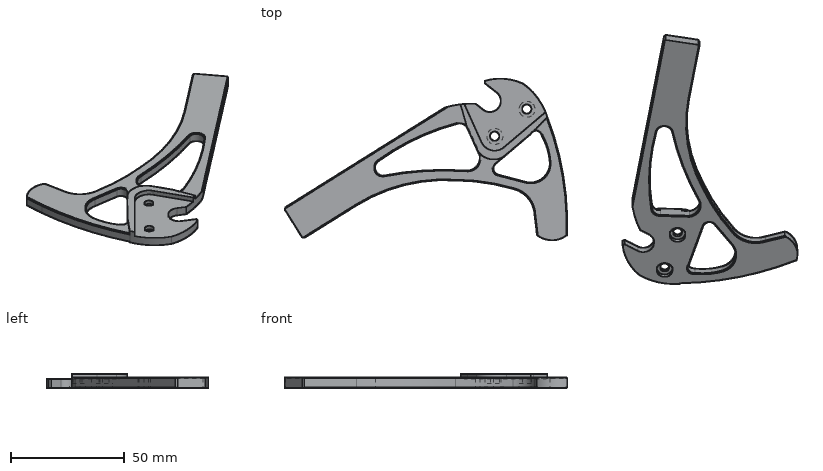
import cadquery as cq
import math

GRIP_HEIGHT = 4.7625
HEAD_HEIGHT = 4.1
RIDGE_HEIGHT = 6.35

EDGE_CHAMFER = 0.45
CHAMFER_TAPER = 45.0
CHAMFER_SETBACK = 3.8

ARM_ANGLE = 32.0
ARM_WIDTH = 15.9
ARM_TOP_CORNER = (-0.4, 14.15)
ARM_TOP_LENGTH = 83.7
ARM_BOTTOM_LENGTH = 27.6
ARM_CORNER_CHAMFER = 0.75

LONG_ARC_MIDDLE = (52.4, 24.2)
LONG_ARC_END = (74.9, 26.3)
SHALLOW_ARC_MIDDLE = (88.0, 25.3)
SHALLOW_ARC_END = (100.3, 22.6)
TIGHT_ARC_MIDDLE = (106.3, 19.3)
TIGHT_ARC_END = (109.8, 11.3)

TAIL_RIGHT = 124.24
TAIL_CORNER_HEIGHT = 2.4
TAIL_LEFT_CORNER = (110.85, TAIL_CORNER_HEIGHT)
TAIL_RIGHT_CORNER = (TAIL_RIGHT, TAIL_CORNER_HEIGHT)
TAIL_END_MIDDLE = (117.3, 0.0)

BACK_ARC_START = (TAIL_RIGHT, 11.0)
BACK_ARC_MIDDLE = (122.1, 31.0)
HEAD_BACK_MIDDLE = (111.6, 62.1)
HEAD_BACK_END = (104.7, 69.0)
CROWN_MIDDLE = (96.0, 71.13)
BEAK_TIP = (88.0, 70.2)
BROW_MIDDLE = (76.9, 59.8)

SLOT_CENTER = (90.2, 61.25)
SLOT_RADIUS = 4.7625
SLOT_ANGLE = 142.0
SLOT_UPPER_LENGTH = 6.7
SLOT_LOWER_LENGTH = 4.3

LOWER_HOLE = (92.3, 45.8)
HOLE_SPACING = 18.5
HOLE_DIAMETER = 3.97
COUNTERBORE_DIAMETER = 7.0
COUNTERBORE_DEPTH = 2.2

RIDGE_OUTER_OFFSET = 9.525
RIDGE_INNER_OFFSET = 6.35
LEFT_FLANK_ANGLE = 114.3
RIGHT_FLANK_ANGLE = 40.2
LEFT_FLANK_LENGTH = 8.0
RIGHT_FLANK_LENGTH = 12.8
FLANK_EXTENSION = 1.5
LEFT_RIDGE_END = (77.3, 59.8)
RIGHT_RIDGE_END = (115.5, 54.2)

LEFT_WINDOW_FLANK_BOTTOM = -4.8
LEFT_LOWER_CORNER_MIDDLE = (84.3, 32.5)
LEFT_LOWER_SIDE_START = (79.8, 30.75)
LEFT_LOWER_SIDE_MIDDLE = (61.0, 30.8)
LEFT_LOWER_SIDE_END = (43.4, 28.5)
LEFT_TIP_MIDDLE = (39.8, 31.2)
LEFT_UPPER_SIDE_START = (41.3, 34.9)
LEFT_UPPER_SIDE_MIDDLE = (57.7, 44.6)
LEFT_UPPER_SIDE_END = (76.3, 51.35)
LEFT_UPPER_CORNER_MIDDLE = (79.0, 50.8)

RIGHT_WINDOW_FLANK_BOTTOM = -7.4
RIGHT_LEFT_CORNER_MIDDLE = (91.8, 31.4)
RIGHT_LOWER_SIDE_START = (94.1, 28.85)
RIGHT_LOWER_SIDE_END = (105.6, 25.85)
RIGHT_TAIL_CORNER_MIDDLE = (113.9, 27.8)
RIGHT_BACK_START = (116.5, 34.2)
RIGHT_BACK_MIDDLE = (115.5, 40.0)
RIGHT_BACK_END = (113.0, 46.0)
RIGHT_TOP_CORNER_MIDDLE = (111.4, 48.0)

BEYOND_PART = 80.0


def step(start, angle, distance):
    """Point reached from start along a direction given in degrees."""
    turn = math.radians(angle)
    return (start[0] + distance * math.cos(turn), start[1] + distance * math.sin(turn))


def midpoint(start, end):
    """Point halfway between two points."""
    return ((start[0] + end[0]) / 2, (start[1] + end[1]) / 2)


def left_flank(offset, along):
    """Point on the left side of the V, measured upward from beside the lower hole."""
    return step(step(LOWER_HOLE, LEFT_FLANK_ANGLE + 90, offset), LEFT_FLANK_ANGLE, along)


def right_flank(offset, along):
    """Point on the right side of the V, measured upward from beside the lower hole."""
    return step(step(LOWER_HOLE, RIGHT_FLANK_ANGLE - 90, offset), RIGHT_FLANK_ANGLE, along)


def v_bottom(offset, extension):
    """Middle of the arc that joins both flanks tangentially, extended below the hole."""
    half_angle = math.radians((LEFT_FLANK_ANGLE - RIGHT_FLANK_ANGLE) / 2)
    radius = offset - extension * math.tan(half_angle)
    apex_distance = offset / math.sin(half_angle)
    distance = apex_distance - radius / math.sin(half_angle) + radius
    return step(LOWER_HOLE, (LEFT_FLANK_ANGLE + RIGHT_FLANK_ANGLE) / 2 + 180, distance)


def outline():
    """Closed outer profile, counterclockwise from the arm end."""
    across = ARM_ANGLE - 90
    arm_bottom_corner = step(ARM_TOP_CORNER, across, ARM_WIDTH)
    slot_upper = step(SLOT_CENTER, SLOT_ANGLE - 90, SLOT_RADIUS)
    slot_lower = step(SLOT_CENTER, SLOT_ANGLE + 90, SLOT_RADIUS)
    slot_bottom = step(SLOT_CENTER, SLOT_ANGLE + 180, SLOT_RADIUS)
    return (
        cq.Workplane("XY")
        .moveTo(*step(ARM_TOP_CORNER, across, ARM_CORNER_CHAMFER))
        .lineTo(*step(ARM_TOP_CORNER, across, ARM_WIDTH - ARM_CORNER_CHAMFER))
        .lineTo(*step(arm_bottom_corner, ARM_ANGLE, ARM_CORNER_CHAMFER))
        .lineTo(*step(arm_bottom_corner, ARM_ANGLE, ARM_BOTTOM_LENGTH))
        .threePointArc(LONG_ARC_MIDDLE, LONG_ARC_END)
        .threePointArc(SHALLOW_ARC_MIDDLE, SHALLOW_ARC_END)
        .threePointArc(TIGHT_ARC_MIDDLE, TIGHT_ARC_END)
        .lineTo(*TAIL_LEFT_CORNER)
        .threePointArc(TAIL_END_MIDDLE, TAIL_RIGHT_CORNER)
        .lineTo(*BACK_ARC_START)
        .threePointArc(BACK_ARC_MIDDLE, RIGHT_RIDGE_END)
        .threePointArc(HEAD_BACK_MIDDLE, HEAD_BACK_END)
        .threePointArc(CROWN_MIDDLE, BEAK_TIP)
        .lineTo(*step(slot_upper, SLOT_ANGLE, SLOT_UPPER_LENGTH))
        .lineTo(*slot_upper)
        .threePointArc(slot_bottom, slot_lower)
        .lineTo(*step(slot_lower, SLOT_ANGLE, SLOT_LOWER_LENGTH))
        .threePointArc(BROW_MIDDLE, step(ARM_TOP_CORNER, ARM_ANGLE, ARM_TOP_LENGTH))
        .lineTo(*step(ARM_TOP_CORNER, ARM_ANGLE, ARM_CORNER_CHAMFER))
        .close()
    )


def left_window():
    """Long window between the arm and the left flank of the ridge."""
    flank_top = left_flank(RIDGE_OUTER_OFFSET, LEFT_FLANK_LENGTH)
    flank_bottom = left_flank(RIDGE_OUTER_OFFSET, LEFT_WINDOW_FLANK_BOTTOM)
    return (
        cq.Workplane("XY")
        .moveTo(*flank_top)
        .lineTo(*flank_bottom)
        .threePointArc(LEFT_LOWER_CORNER_MIDDLE, LEFT_LOWER_SIDE_START)
        .threePointArc(LEFT_LOWER_SIDE_MIDDLE, LEFT_LOWER_SIDE_END)
        .threePointArc(LEFT_TIP_MIDDLE, LEFT_UPPER_SIDE_START)
        .threePointArc(LEFT_UPPER_SIDE_MIDDLE, LEFT_UPPER_SIDE_END)
        .threePointArc(LEFT_UPPER_CORNER_MIDDLE, flank_top)
        .close()
    )


def right_window():
    """Triangular window between the tail and the right flank of the ridge."""
    flank_top = right_flank(RIDGE_OUTER_OFFSET, RIGHT_FLANK_LENGTH)
    flank_bottom = right_flank(RIDGE_OUTER_OFFSET, RIGHT_WINDOW_FLANK_BOTTOM)
    return (
        cq.Workplane("XY")
        .moveTo(*flank_bottom)
        .threePointArc(RIGHT_LEFT_CORNER_MIDDLE, RIGHT_LOWER_SIDE_START)
        .lineTo(*RIGHT_LOWER_SIDE_END)
        .threePointArc(RIGHT_TAIL_CORNER_MIDDLE, RIGHT_BACK_START)
        .threePointArc(RIGHT_BACK_MIDDLE, RIGHT_BACK_END)
        .threePointArc(RIGHT_TOP_CORNER_MIDDLE, flank_top)
        .close()
    )


def head_region():
    """Region inside the outer side of the V, whose flanks turn inward near their ends."""
    return (
        cq.Workplane("XY")
        .moveTo(LEFT_RIDGE_END[0], BEYOND_PART)
        .lineTo(*LEFT_RIDGE_END)
        .lineTo(*left_flank(RIDGE_OUTER_OFFSET, LEFT_FLANK_LENGTH))
        .lineTo(*left_flank(RIDGE_OUTER_OFFSET, -FLANK_EXTENSION))
        .threePointArc(
            v_bottom(RIDGE_OUTER_OFFSET, FLANK_EXTENSION),
            right_flank(RIDGE_OUTER_OFFSET, -FLANK_EXTENSION),
        )
        .lineTo(*right_flank(RIDGE_OUTER_OFFSET, RIGHT_FLANK_LENGTH))
        .lineTo(*RIGHT_RIDGE_END)
        .lineTo(RIGHT_RIDGE_END[0], BEYOND_PART)
        .close()
    )


def plate_region():
    """Region inside the inner side of the V, where the head is thinner than the grip."""
    return (
        cq.Workplane("XY")
        .moveTo(*left_flank(RIDGE_INNER_OFFSET, BEYOND_PART))
        .lineTo(*left_flank(RIDGE_INNER_OFFSET, 0))
        .threePointArc(v_bottom(RIDGE_INNER_OFFSET, 0), right_flank(RIDGE_INNER_OFFSET, 0))
        .lineTo(*right_flank(RIDGE_INNER_OFFSET, BEYOND_PART))
        .close()
    )


def chamfer_outer_edges(grip):
    """Chamfer the long sides of the grip above and below, leaving both ends square."""
    middles = (
        step(ARM_TOP_CORNER, ARM_ANGLE, ARM_TOP_LENGTH / 2),
        step(step(ARM_TOP_CORNER, ARM_ANGLE - 90, ARM_WIDTH), ARM_ANGLE, ARM_BOTTOM_LENGTH / 2),
        LONG_ARC_MIDDLE,
        SHALLOW_ARC_MIDDLE,
        TIGHT_ARC_MIDDLE,
        midpoint(TIGHT_ARC_END, TAIL_LEFT_CORNER),
        midpoint(TAIL_RIGHT_CORNER, BACK_ARC_START),
        BACK_ARC_MIDDLE,
    )
    edges = []
    for height in (0, GRIP_HEIGHT):
        for x, y in middles:
            edges.append(grip.edges(cq.NearestToPointSelector((x, y, height))).val())
    return grip.newObject(edges).chamfer(EDGE_CHAMFER)


def make_grip():
    """Chamfered plate without the head."""
    grip = chamfer_outer_edges(outline().extrude(GRIP_HEIGHT))
    near_ridge = head_region().offset2D(CHAMFER_SETBACK).extrude(RIDGE_HEIGHT)
    for window in (left_window, right_window):
        top_flare = window().extrude(EDGE_CHAMFER, taper=-CHAMFER_TAPER)
        top_flare = top_flare.translate((0, 0, GRIP_HEIGHT - EDGE_CHAMFER))
        grip = grip.cut(top_flare.cut(near_ridge))
    return grip.cut(head_region().extrude(RIDGE_HEIGHT))


def make_head():
    """Head plate with the raised ridge along its lower border."""
    head = outline().extrude(RIDGE_HEIGHT).intersect(head_region().extrude(RIDGE_HEIGHT))
    above_plate = plate_region().extrude(RIDGE_HEIGHT).translate((0, 0, HEAD_HEIGHT))
    return head.cut(above_plate)


def cut_windows(body):
    """Cut both windows through, with a chamfer all around on the underside."""
    for window in (left_window, right_window):
        bottom_flare = window().extrude(-EDGE_CHAMFER, taper=-CHAMFER_TAPER)
        bottom_flare = bottom_flare.translate((0, 0, EDGE_CHAMFER))
        body = body.cut(window().extrude(RIDGE_HEIGHT)).cut(bottom_flare)
    return body


def cut_screw_holes(body):
    """Cut the two counterbored screw holes."""
    centers = [LOWER_HOLE, step(LOWER_HOLE, RIGHT_FLANK_ANGLE, HOLE_SPACING)]
    holes = cq.Workplane("XY").pushPoints(centers).circle(HOLE_DIAMETER / 2).extrude(RIDGE_HEIGHT)
    counterbores = (
        cq.Workplane("XY").pushPoints(centers).circle(COUNTERBORE_DIAMETER / 2).extrude(COUNTERBORE_DEPTH)
    )
    return body.cut(holes).cut(counterbores)


result = cut_screw_holes(cut_windows(make_grip().union(make_head())))